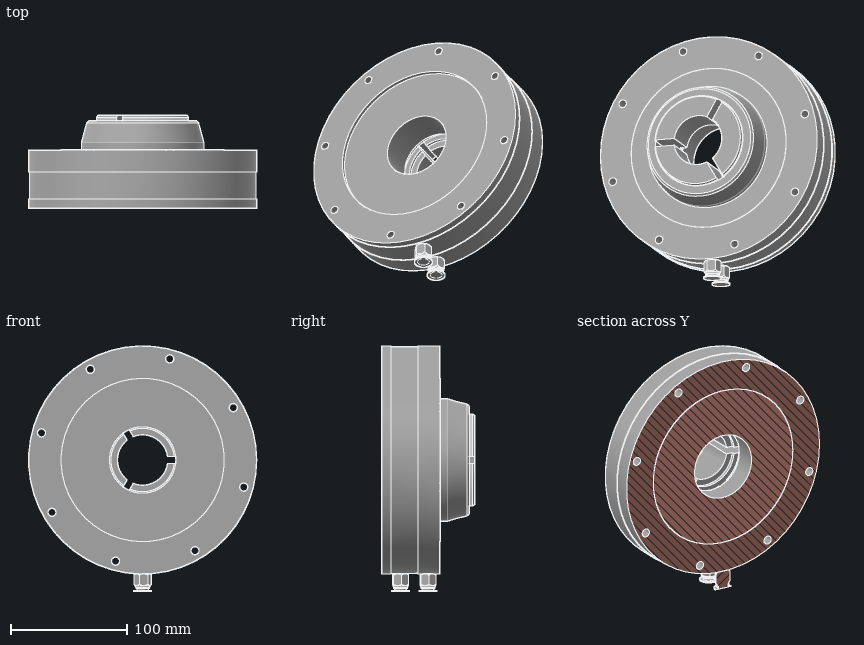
import cadquery as cq
import math


flange_radius = 98.0
middle_radius = 97.5
flange_back = 8.0
middle_back = 31.0
housing_back = 50.0

bolt_count = 8
bolt_diameter = 6.8
bolt_circle_radius = 89.9
bolt_first_angle = 30.0

core_radius = 70.0
core_front = 4.0
core_back = housing_back + 0.5
bore_radius = 28.5

hub_radius = 52.8
hub_cone_start = 56.3
hub_cone_end_radius = 48.1
hub_back = 75.3
hub_edge_chamfer = 2.0

overall_depth = 80.0
lip_radius = 39.7
lip_front = 76.5
lip_back = 77.9
neck_base_radius = 39.2
neck_tip_radius = 38.5

groove_radius = 32.0
groove_front = 35.9
pocket_width = 8.5
pocket_floor = 32.7
pocket_angle = 60.0

collar_radius = 21.5
collar_front = 42.2
collar_step_radius = 27.2
collar_step_depth = 3.0
slot_count = 3
slot_width = 6.0

overall_height = 211.0
fitting_positions = (16.2, 39.7)
fitting_top = -97.3
hex_flats = 13.0
hex_height = 11.0
hex_chamfer = 1.5
hex_turn = 7.5
taper_radius = 6.5
taper_height = 1.3
shoulder_radius = 6.0
shoulder_bottom = -110.1
stem_radius = 5.0
rim_radius = 7.8
rim_height = 0.8
fitting_bottom = flange_radius - overall_height


def ring(outer_radius, inner_radius, front, back):
    """Plain ring about the Y axis between two Y positions."""
    base = cq.Workplane("XZ", origin=(0, front, 0))
    return base.circle(outer_radius).circle(inner_radius).extrude(front - back)


def make_bolt_holes():
    """Cylinders that cut the bolt circle through the full housing depth."""
    centers = cq.Workplane("XZ").polarArray(bolt_circle_radius, bolt_first_angle, 360, bolt_count)
    return centers.circle(bolt_diameter / 2).extrude(-housing_back)


def make_housing_ring(outer_radius, front, back):
    """One layer of the housing, bored for the core and drilled for the bolts."""
    return ring(outer_radius, core_radius, front, back).cut(make_bolt_holes())


def make_collar_slots():
    """Radial slots through the collar, reaching out to the lip of the neck."""
    slot = (
        cq.Workplane("XY", origin=(0, collar_front, 0))
        .box(2 * lip_radius, overall_depth - collar_front, slot_width, centered=(False, False, True))
    )
    limit = ring(lip_radius, collar_radius / 2, collar_front, overall_depth)
    slots = cq.Workplane("XY")
    for index in range(slot_count):
        turned = slot.rotate((0, 0, 0), (0, 1, 0), index * 360 / slot_count)
        slots = slots.add(turned.intersect(limit))
    return slots


def make_groove_pocket():
    """Block that cuts a flat pocket into the groove wall, turned from +X toward -Z."""
    block = (
        cq.Workplane("XY", origin=(bore_radius, groove_front, 0))
        .box(
            pocket_floor - bore_radius,
            collar_front - groove_front,
            pocket_width,
            centered=(False, False, True),
        )
    )
    return block.rotate((0, 0, 0), (0, 1, 0), pocket_angle)


def make_hub():
    """Core, conical hub, neck and collar as one turned body with a slotted collar."""
    profile = [
        (bore_radius, core_front),
        (core_radius, core_front),
        (core_radius, core_back),
        (hub_radius, core_back),
        (hub_radius, hub_cone_start),
        (hub_cone_end_radius, hub_back - hub_edge_chamfer),
        (hub_cone_end_radius - hub_edge_chamfer, hub_back),
        (neck_base_radius, hub_back),
        (lip_radius, lip_front),
        (lip_radius, lip_back),
        (neck_tip_radius, overall_depth),
        (collar_radius, overall_depth),
        (collar_radius, collar_front + collar_step_depth),
        (collar_step_radius, collar_front + collar_step_depth),
        (collar_step_radius, collar_front),
        (groove_radius, collar_front),
        (groove_radius, groove_front),
        (bore_radius, groove_front),
    ]
    body = cq.Workplane("XY").polyline(profile).close().revolve(360, (0, 0, 0), (0, 1, 0))
    for slot in make_collar_slots().vals():
        body = body.cut(cq.Workplane(slot))
    return body.cut(make_groove_pocket())


def make_fitting(y_position):
    """Hose fitting on a vertical axis: chamfered hexagon, tapered shoulder, stem and rim."""
    corner_radius = hex_flats / math.sqrt(3)
    hex_bottom = fitting_top - hex_height
    base = cq.Workplane("XY", origin=(0, 0, hex_bottom))
    hexagon = base.polygon(6, 2 * corner_radius).extrude(hex_height)
    hexagon = hexagon.rotate((0, 0, 0), (0, 0, 1), hex_turn)
    chamfered_blank = base.circle(corner_radius).extrude(hex_height).edges().chamfer(hex_chamfer)
    profile = [
        (0, hex_bottom),
        (taper_radius, hex_bottom),
        (shoulder_radius, hex_bottom - taper_height),
        (shoulder_radius, shoulder_bottom),
        (stem_radius, shoulder_bottom),
        (stem_radius, fitting_bottom + rim_height),
        (rim_radius, fitting_bottom + rim_height),
        (rim_radius, fitting_bottom),
        (0, fitting_bottom),
    ]
    tail = cq.Workplane("XZ").polyline(profile).close().revolve(360, (0, 0, 0), (0, 1, 0))
    return hexagon.intersect(chamfered_blank).union(tail).translate((0, y_position, 0))


front_flange = make_housing_ring(flange_radius, 0, flange_back)
middle_ring = make_housing_ring(middle_radius, flange_back, middle_back)
rear_ring = make_housing_ring(flange_radius, middle_back, housing_back)
hub = make_hub()
front_fitting, rear_fitting = [make_fitting(y_position) for y_position in fitting_positions]

middle_ring = middle_ring.cut(front_fitting)
rear_ring = rear_ring.cut(rear_fitting)

result = cq.Compound.makeCompound([
    front_flange.val(),
    middle_ring.val(),
    rear_ring.val(),
    hub.val(),
    front_fitting.val(),
    rear_fitting.val(),
])